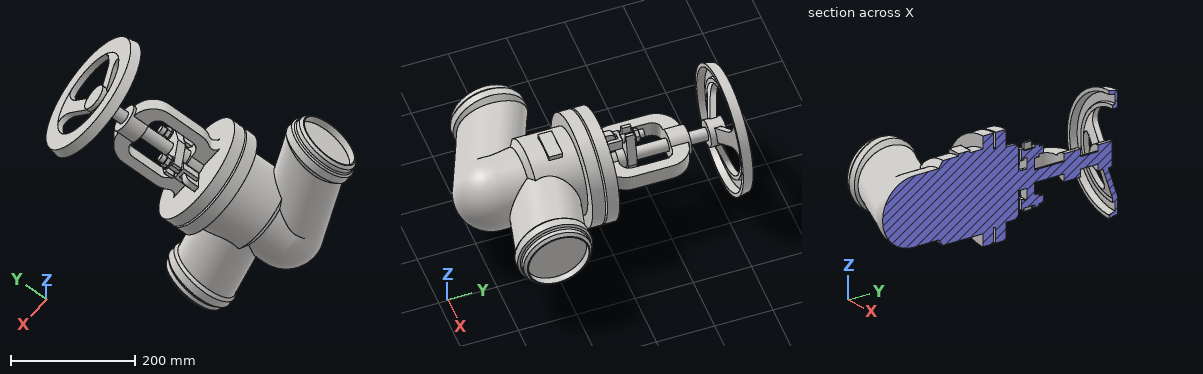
import cadquery as cq
import math


port_face_x = 175.0
port_radius = 58.5
port_bevel = 4.5
collar_foot_radius = 60.5
collar_radius = 64.5
collar_foot_start = 12.5
collar_foot_end = 15.0
collar_rise_end = 17.5
collar_flat_end = 31.5
port_length = 46.0
bore_radius = 52.0
bore_depth = 12.5

inlet_radius = 56.0
inlet_angle = 23.4
outlet_radius = 58.5
outlet_angle = 13.4
branch_bend_x = 137.0

sphere_radius = 63.0
sphere_y = -52.0
body_radius = 74.7
neck_top_y = -2.5
body_bottom_y = 6.5
body_flange_bottom_y = 86.5
body_flange_top_y = 109.0
flange_radius = 97.5
gasket_radius = 69.5
bonnet_bottom_y = 112.0
bonnet_top_y = 133.5

plate_length = 52.0
plate_bottom_y = 38.0
plate_top_y = 61.5
plate_top_z = 78.5

yoke_thickness = 30.7
yoke_half_width = 59.0
yoke_top_radius = 41.5
yoke_top_y = 279.5
yoke_foot_y = 171.2
yoke_bend_x = 53.0
yoke_bend_y = 150.5
yoke_waist_x = 50.5
yoke_waist_y = 144.5
yoke_opening_half_width = 40.5
yoke_opening_bottom_y = 159.5
yoke_opening_top_y = 250.0
yoke_opening_radius = 16.5
yoke_boss_radius = 25.0
yoke_boss_top_y = 284.0

packing_radius = 24.5
rib_thickness = 11.0
rib_half_span = 66.0
rib_corner_radius = 11.0
gland_radius = 17.5
bridge_bottom_y = 175.0
bridge_top_y = 190.5
bridge_half_span = 60.0
bridge_middle_half_width = 23.0
bridge_end_half_width = 12.5

stud_z = 43.5
stud_radius = 7.0
stud_top_y = 209.5
clevis_width = 22.5
clevis_depth = 19.5
clevis_bottom_y = 138.0
clevis_slot_top_y = 164.0
clevis_top_y = 170.0
washer_radius = 12.5
washer_thickness = 2.5
nut_sides = 6
nut_across_flats = 20.0
nut_height = 7.5

stem_radius = 11.5
wheel_radius = 112.5
wheel_back_radius = 109.0
wheel_front_y = 339.5
wheel_back_y = 358.0
lip_inner_radius = 105.5
groove_outer_radius = 101.5
groove_inner_radius = 86.5
groove_floor_y = 352.0
ring_outer_radius = 85.0
ring_inner_radius = 78.0
ring_y = 346.7
hub_radius = 23.0
hub_front_y = 317.5
hub_shoulder_y = 328.0
hub_back_y = 346.7
spoke_count = 3
spoke_width = 25.5
window_corner_radius = 16.5


def turned(points):
    """Solid turned about the Y axis from (radius, y) points."""
    return cq.Workplane("XY").polyline(points).close().revolve(360, (0, 0, 0), (0, 1, 0))


def disc(radius, bottom_y, top_y):
    """Cylinder on the Y axis."""
    return turned([(0, bottom_y), (radius, bottom_y), (radius, top_y), (0, top_y)])


def block(half_x, bottom_y, top_y, half_z):
    """Box centred on the Y axis."""
    height = top_y - bottom_y
    return cq.Workplane("XY").box(2 * half_x, height, 2 * half_z).translate((0, bottom_y + height / 2, 0))


def port(side):
    """Welding end with a raised collar; side is -1 for inlet, +1 for outlet."""
    profile = [
        (0, 0),
        (port_radius - port_bevel, 0),
        (port_radius, port_bevel),
        (port_radius, collar_foot_start),
        (collar_foot_radius, collar_foot_end),
        (collar_radius, collar_rise_end),
        (collar_radius, collar_flat_end),
        (collar_radius - port_length + collar_flat_end, port_length),
        (0, port_length),
    ]
    points = [(side * (port_face_x - depth), radius) for radius, depth in profile]
    return cq.Workplane("XY").polyline(points).close().revolve(360, (0, 0, 0), (1, 0, 0))


def port_bore(side):
    """Blind recess in the port face."""
    start = cq.Plane(origin=(side * port_face_x, 0, 0), xDir=(0, 1, 0), normal=(-side, 0, 0))
    return cq.Workplane(start).circle(bore_radius).extrude(bore_depth)


def branch(side, radius, angle):
    """Inclined pipe from inside the port collar to the stem axis.

    Going in from its port, the inlet falls towards -Y and the outlet rises towards +Y.
    """
    slope = math.radians(angle)
    inner_end_y = side * branch_bend_x * math.tan(slope)
    outward = (side * math.cos(slope), -side * math.sin(slope), 0)
    start = cq.Plane(origin=(0, inner_end_y, 0), xDir=(0, 0, 1), normal=outward)
    pipe = cq.Workplane(start).circle(radius).extrude(2 * port_face_x)
    collar_x = port_face_x - collar_flat_end
    inside_collars = block(collar_x, -2 * port_face_x, 2 * port_face_x, port_face_x)
    return pipe.intersect(inside_collars)


def body():
    """Bowl, neck, body and both flanges, turned as one piece."""
    bowl_mid = sphere_radius * math.sqrt(0.5)
    half_profile = (
        cq.Workplane("XY")
        .moveTo(0, sphere_y - sphere_radius)
        .threePointArc((bowl_mid, sphere_y - bowl_mid), (sphere_radius, sphere_y))
        .lineTo(sphere_radius, neck_top_y)
        .lineTo(body_radius, body_bottom_y)
        .lineTo(body_radius, body_flange_bottom_y)
        .lineTo(flange_radius, body_flange_bottom_y)
        .lineTo(flange_radius, body_flange_top_y)
        .lineTo(gasket_radius, body_flange_top_y)
        .lineTo(gasket_radius, bonnet_bottom_y)
        .lineTo(flange_radius, bonnet_bottom_y)
        .lineTo(flange_radius, bonnet_top_y)
        .lineTo(0, bonnet_top_y)
        .close()
    )
    return half_profile.revolve(360, (0, 0, 0), (0, 1, 0))


def name_plate():
    """Raised rectangular pad on the +Z side of the body."""
    plate_base_z = body_radius / 2
    return (
        cq.Workplane("XY", origin=(0, (plate_bottom_y + plate_top_y) / 2, plate_base_z))
        .rect(plate_length, plate_top_y - plate_bottom_y)
        .extrude(plate_top_z - plate_base_z)
    )


def yoke():
    """Flat yoke with rounded shoulders, a waisted foot and a stem boss at the top."""
    shoulder_y = yoke_top_y - yoke_top_radius
    shoulder_x = yoke_half_width - yoke_top_radius
    shoulder_mid = yoke_top_radius * math.sqrt(0.5)
    half_yoke = (
        cq.Workplane("XY", origin=(0, 0, -yoke_thickness / 2))
        .moveTo(0, yoke_top_y)
        .lineTo(shoulder_x, yoke_top_y)
        .threePointArc((shoulder_x + shoulder_mid, shoulder_y + shoulder_mid), (yoke_half_width, shoulder_y))
        .lineTo(yoke_half_width, yoke_foot_y)
        .tangentArcPoint((yoke_bend_x, yoke_bend_y), relative=False)
        .threePointArc((yoke_waist_x, yoke_waist_y), (yoke_half_width, bonnet_top_y))
        .lineTo(0, bonnet_top_y)
        .close()
        .extrude(yoke_thickness)
    )
    opening = block(
        yoke_opening_half_width, yoke_opening_bottom_y, yoke_opening_top_y, yoke_thickness
    ).edges("|Z").fillet(yoke_opening_radius)
    boss = disc(yoke_boss_radius, yoke_opening_top_y, yoke_boss_top_y)
    return half_yoke.union(half_yoke.mirror("YZ")).cut(opening).union(boss)


def stuffing_box():
    """Packing housing, the rib carrying both studs, and the gland sleeve."""
    packing = disc(packing_radius, bonnet_top_y, yoke_opening_bottom_y)
    rib = block(rib_thickness / 2, bonnet_top_y, yoke_opening_bottom_y, rib_half_span)
    rib = rib.faces(">Y").edges("|X").fillet(rib_corner_radius)
    gland = disc(gland_radius, yoke_opening_bottom_y, bridge_bottom_y)
    return packing.union(rib).union(gland)


def gland_bridge():
    """Six-sided bar across the gland."""
    return (
        cq.Workplane("XZ", origin=(0, bridge_top_y, 0))
        .polyline([
            (bridge_middle_half_width, 0),
            (bridge_end_half_width, bridge_half_span),
            (-bridge_end_half_width, bridge_half_span),
            (-bridge_middle_half_width, 0),
            (-bridge_end_half_width, -bridge_half_span),
            (bridge_end_half_width, -bridge_half_span),
        ])
        .close()
        .extrude(bridge_top_y - bridge_bottom_y)
    )


def bridge_slot(side):
    """Slot open to the end of the bridge, as wide as the stud."""
    length = bridge_half_span - stud_z
    slot = block(stud_radius, bridge_bottom_y, bridge_top_y, length / 2)
    return slot.translate((0, 0, side * (stud_z + length / 2)))


def gland_stud(side):
    """Clevis over the rib, stud, washer and hexagon nut."""
    clevis = block(clevis_width / 2, clevis_bottom_y, clevis_top_y, clevis_depth / 2)
    clevis = clevis.cut(block(rib_thickness / 2, clevis_bottom_y, clevis_slot_top_y, clevis_depth))
    stud = disc(stud_radius, clevis_slot_top_y, stud_top_y)
    nut_bottom_y = bridge_top_y + washer_thickness
    washer = disc(washer_radius, bridge_top_y, nut_bottom_y)
    nut = (
        cq.Workplane("XZ", origin=(0, nut_bottom_y, 0))
        .polygon(nut_sides, nut_across_flats / math.cos(math.pi / nut_sides))
        .extrude(-nut_height)
        .rotate((0, 0, 0), (0, 1, 0), 180 / nut_sides)
    )
    return clevis.union(stud).union(washer).union(nut).translate((0, 0, side * stud_z))


def spoke(angle):
    """Bar from the wheel axis towards -Z, turned about the axis by the angle."""
    bar = block(spoke_width / 2, hub_front_y, wheel_back_y, wheel_radius / 2)
    return bar.translate((0, 0, -wheel_radius / 2)).rotate((0, 0, 0), (0, 1, 0), angle)


def handwheel():
    """Grooved rim, dished spokes and hub."""
    spoke_depth = wheel_back_y - ring_y
    wheel = turned([
        (0, hub_front_y),
        (hub_radius, hub_front_y),
        (hub_radius, hub_shoulder_y),
        (ring_inner_radius, ring_y),
        (ring_outer_radius, ring_y),
        (groove_inner_radius, groove_floor_y),
        (groove_outer_radius, groove_floor_y),
        (lip_inner_radius, wheel_front_y),
        (wheel_radius, wheel_front_y),
        (wheel_back_radius, wheel_back_y),
        (ring_inner_radius, wheel_back_y),
        (hub_radius, hub_shoulder_y + spoke_depth),
        (hub_radius, hub_back_y),
        (0, hub_back_y),
    ])
    windows = disc(ring_inner_radius, hub_front_y, wheel_back_y)
    for index in range(spoke_count):
        windows = windows.cut(spoke(index * 360 / spoke_count))
    windows = windows.edges("|Y").fillet(window_corner_radius)
    windows = windows.cut(disc(hub_radius, hub_front_y, wheel_back_y))
    return wheel.cut(windows)


bridge = gland_bridge()
studs = gland_stud(-1).union(gland_stud(1))
result = body().union(name_plate())
result = result.union(branch(-1, inlet_radius, inlet_angle))
result = result.union(branch(1, outlet_radius, outlet_angle))
for end in (-1, 1):
    result = result.union(port(end)).cut(port_bore(end))
    bridge = bridge.cut(bridge_slot(end))
result = result.union(yoke()).union(stuffing_box()).union(bridge).union(studs)
result = result.union(disc(stem_radius, bridge_bottom_y, hub_front_y)).union(handwheel())